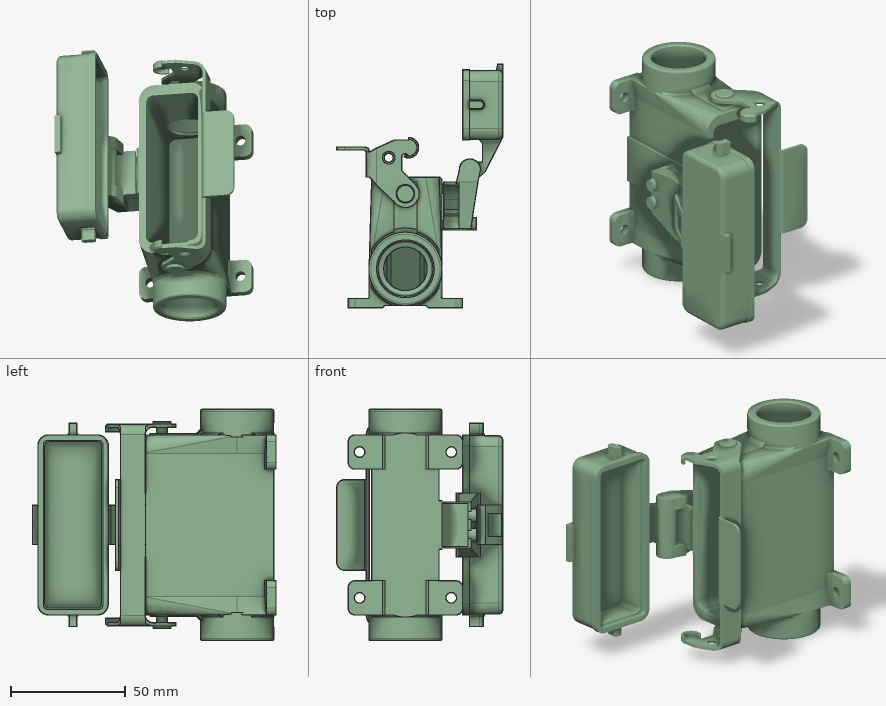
import cadquery as cq
import math


OVERLAP = 1.0

BODY_BASE_Y = 1.0
BODY_TOP_Y = 57.0
BODY_HALF_WIDTH = 14.75
BODY_HALF_LENGTH = 39.3
FLARE_HALF_WIDTH = 15.9
FLARE_START_Z = 31.2
FLARE_CORNER_RADIUS = 0.3
FLARE_TOP_Y = 17.0
TOP_FLAT_HALF_WIDTH = 8.8
PAD_HALF_WIDTH = 5.0
PAD_TOP_Y = 55.0
PAD_HEIGHT = 0.6

TUBE_RADIUS = 16.0
TUBE_CLEARANCE = 0.05
TUBE_Y = BODY_BASE_Y + TUBE_RADIUS + TUBE_CLEARANCE
TUBE_END_Z = 50.5
TUBE_EDGE = 0.9
TUBE_ROOT = 0.9
PAD_ROOT = 1.8
BORE_RADIUS = 12.0
BORE_CHAMFER = 0.6
BORE_DEPTH = 13.6
ENTRY_RADIUS = 9.5
ENTRY_CONE_DEPTH = 1.4

CAVITY_HALF_WIDTH = 11.5
CAVITY_HALF_LENGTH = 34.5
CAVITY_FLOOR_Y = 4.0
CAVITY_CORNER_RADIUS = 3.0
CHANNEL_FLOOR_HALF_WIDTH = 6.4
CHANNEL_MOUTH_HALF_WIDTH = 8.0
CHANNEL_DEPTH = 1.0

FOOT_HALF_SPAN = 25.0
FOOT_INNER_X = 10.0
FOOT_INNER_TOP_X = 9.0
FOOT_THICKNESS = 4.2
FOOT_LENGTH = 15.0
FOOT_Z = BODY_HALF_LENGTH - FOOT_LENGTH / 2
FOOT_CORNER_RADIUS = 3.0
FOOT_ROOT_CHAMFER = 0.8
FOOT_ROOT_X = BODY_HALF_WIDTH + 2 * FOOT_ROOT_CHAMFER
FOOT_HOLE_DIAMETER = 4.5
FOOT_HOLE_X = 20.0

SHEET = 1.4
LEVER_BACK_X = -17.1
LEVER_OUTER_Z = 44.0
LEVER_BEND_RADIUS = 4.5
LEVER_LOW_Y = 57.1
LEVER_HIGH_Y = 68.0
LEVER_BROW = (-12.3, 69.9)
LEVER_CREST = (-4.7, 73.3)
LEVER_KNEE = (-12.3, 53.3)
LEVER_NECK_X = -1.5
PIVOT_Y = 49.8
PIVOT_EYE_RADIUS = 6.0
PIVOT_HEAD_DIAMETER = 8.0
PIVOT_HEAD_HEIGHT = 1.2
PIVOT_HEAD_CHAMFER = 0.3
PIVOT_NECK_DIAMETER = 4.9
HOOK_X = 1.3
HOOK_Y = 69.9
HOOK_RADIUS = 4.5
HOOK_INNER_RADIUS = 3.4
HOOK_RIM_Z = 40.6
HOOK_SWEEP = 205.0
HOOK_EDGE = 0.8
HOOK_THROAT_X = 0.2
HOOK_THROAT_Y = 67.2
LEVER_HOLE_X = -7.3
LEVER_HOLE_Y = 65.5
LEVER_HOLE_DIAMETER = 3.8
LEVER_SINK_DIAMETER = 5.5
LEVER_SINK_DEPTH = 0.8
HANDLE_END_X = -30.0
HANDLE_TOP_Y = 70.2
HANDLE_HALF_LENGTH = 19.8
HANDLE_CORNER_RADIUS = 3.5
HANDLE_BEND_RADIUS = 2.0

BRACKET_SEAT_X = 16.0
BRACKET_SEAT_HALF_LENGTH = 10.6
SEAT_CHAMFER = 1.0
SEAT_PADS = ((34.9, 38.2), (50.0, 54.0))
SEAT_PAD_HALF_LENGTH = 4.0
PLATE_HALF_LENGTH = 9.3
BLOCK_WAIST = 5.5
BLOCK_STEP = 6.5
BLOCK_TOP_RIM_Y = 53.6
BLOCK_WAIST_HIGH_Y = 47.2
BLOCK_WAIST_LOW_Y = 42.9
BLOCK_STEP_HIGH_Y = 40.9
BLOCK_STEP_LOW_Y = 40.1
BRACKET_HALF_LENGTH = 10.1
BRACKET_LOW_Y = 34.6
BRACKET_TOP_Y = 55.0
BRACKET_PLATE = 0.7
BRACKET_PLATE_END_X = 27.2
BRACKET_BLOCK_X = 16.7
WEDGE_X = 23.3
WEDGE_LOW_X = 28.5
WEDGE_TOP_X = 31.7
EAR_HALF_LENGTH = 13.9
EAR_ROOT_X = 22.1
EAR_ROOT_DROP = 0.8
HINGE_X = 28.1
HINGE_Y = 60.4
HINGE_RADIUS = 4.6
HUB_CLEARANCE = 0.4
SCREW_HEAD_DIAMETER = 5.5
SCREW_END_X = 30.9
SCREW_Y = 36.7
SCREW_Z = 4.2

COVER_RIM_X = 25.0
COVER_LIP_X = 27.9
COVER_BACK_X = 42.5
COVER_LOW_Y = 73.2
COVER_HIGH_Y = 104.0
COVER_HALF_LENGTH = 39.3
COVER_LIP_STEP = 0.35
COVER_CORNER_RADIUS = 4.8
COVER_BACK_FILLET = 2.0
COVER_WALL = 3.0
COVER_MOUTH_WALL = 2.4
COVER_INNER_CORNER_RADIUS = 2.0
LUG_TOP_Y = 106.4
LUG_BASE_X = 39.7
LUG_TOP_X = 40.2
ARM_HALF_LENGTH = 8.6
ARM_GROOVE_HALF_LENGTH = 5.0
ARM_WEB_X = 36.0
ARM_WEB_FILLET = 2.0
ARM_SLOPE_TOP_Y = 74.5
ARM_SLOPE_END = (34.9, 59.6)
ARM_TIP = (32.5, 57.3)
ARM_LEDGE_Y = 63.6
ARM_INNER_X = 33.6
ARM_ROOT_CHAMFER = 1.2
STUD_Y = 88.6
STUD_WIDTH = 3.4
STUD_COLLAR = 0.45
STUD_END_X = 34.0
STUD_END_Z = 44.4
STUD_FLAT = 0.05


def box(x0, x1, y0, y1, z0, z1):
    """Box between two opposite corners."""
    return cq.Workplane("XY").box(x1 - x0, y1 - y0, z1 - z0, centered=False).translate((x0, y0, z0))


def cylinder_z(x, y, diameter, z0, z1):
    """Cylinder along Z."""
    return cq.Workplane("XY", origin=(x, y, z0)).circle(diameter / 2).extrude(z1 - z0)


def both_ends(shape):
    """The shape together with its mirror image across Z = 0."""
    return shape.union(shape.mirror("XY"))


def body_section(y, half_width, corner_x, corner_z):
    """Section wire at height y: straight flanks, slanted ends and rounded corners."""
    inset = 1 - math.sqrt(0.5)
    wire = cq.Workplane("XZ", origin=(0, y, 0)).moveTo(BODY_HALF_WIDTH, -FLARE_START_Z)
    for sx, sz in ((1, 1), (-1, 1), (-1, -1), (1, -1)):
        flank = (sx * BODY_HALF_WIDTH, sz * FLARE_START_Z)
        side = (sx * half_width, sz * (BODY_HALF_LENGTH - corner_z))
        middle = (sx * (half_width - inset * corner_x), sz * (BODY_HALF_LENGTH - inset * corner_z))
        end = (sx * (half_width - corner_x), sz * BODY_HALF_LENGTH)
        if sx == sz:
            wire = wire.lineTo(*flank).lineTo(*side).threePointArc(middle, end)
        else:
            wire = wire.lineTo(*end).threePointArc(middle, side).lineTo(*flank)
    return wire.wire().val()


def make_body():
    flare = (FLARE_HALF_WIDTH, FLARE_CORNER_RADIUS, FLARE_CORNER_RADIUS)
    top_round_x = BODY_HALF_WIDTH - TOP_FLAT_HALF_WIDTH
    top_round_z = BODY_HALF_LENGTH - FLARE_START_Z - FLARE_CORNER_RADIUS
    base = body_section(BODY_BASE_Y, *flare)
    shoulder = body_section(FLARE_TOP_Y, *flare)
    top = body_section(BODY_TOP_Y, BODY_HALF_WIDTH, top_round_x, top_round_z)
    lower = cq.Workplane(cq.Solid.makeLoft([base, shoulder], True))
    upper = cq.Workplane(cq.Solid.makeLoft([shoulder, top], True))
    pad = box(-PAD_HALF_WIDTH, PAD_HALF_WIDTH, TUBE_Y, PAD_TOP_Y, 0, BODY_HALF_LENGTH + PAD_HEIGHT)
    return lower.union(upper).union(both_ends(pad))


def make_tube_root(size, face_z, half_width):
    """Conical root where the +Z tube leaves a face, trimmed to the width of that face."""
    start_z = BODY_HALF_LENGTH - OVERLAP
    outer_radius = TUBE_RADIUS + size
    profile = [(0, start_z), (outer_radius, start_z), (outer_radius, face_z)]
    profile += [(TUBE_RADIUS, face_z + size), (0, face_z + size)]
    root = cq.Workplane("XZ").polyline(profile).close().revolve(360, (0, 0, 0), (0, 1, 0))
    root = root.translate((0, TUBE_Y, 0))
    return root.intersect(box(-half_width, half_width, BODY_BASE_Y, BODY_TOP_Y, 0, TUBE_END_Z))


def make_tubes():
    tube = cylinder_z(0, TUBE_Y, 2 * TUBE_RADIUS, BODY_HALF_LENGTH - OVERLAP, TUBE_END_Z)
    tube = tube.faces(">Z").edges().fillet(TUBE_EDGE)
    body_root = make_tube_root(TUBE_ROOT, BODY_HALF_LENGTH, BODY_HALF_WIDTH)
    pad_root = make_tube_root(PAD_ROOT, BODY_HALF_LENGTH + PAD_HEIGHT, PAD_HALF_WIDTH)
    pad_root = pad_root.intersect(box(-TUBE_RADIUS, TUBE_RADIUS, TUBE_Y, BODY_TOP_Y, 0, TUBE_END_Z))
    return both_ends(tube.union(body_root).union(pad_root))


def make_bore(through):
    """Cable bore in the +Z tube: entry chamfer, cylinder and, if through, a cone into the cavity."""
    floor_z = TUBE_END_Z - BORE_DEPTH
    mouth_radius = BORE_RADIUS + BORE_CHAMFER
    profile = [(0, TUBE_END_Z), (mouth_radius, TUBE_END_Z), (BORE_RADIUS, TUBE_END_Z - BORE_CHAMFER)]
    profile.append((BORE_RADIUS, floor_z))
    if through:
        profile.append((ENTRY_RADIUS, floor_z - ENTRY_CONE_DEPTH))
        profile.append((ENTRY_RADIUS, 0))
        profile.append((0, 0))
    else:
        profile.append((0, floor_z))
    bore = cq.Workplane("XZ").polyline(profile).close().revolve(360, (0, 0, 0), (0, 1, 0))
    return bore.translate((0, TUBE_Y, 0))


def make_cavity():
    """Cavity open at the mating face, with a shallow channel down the closed end wall."""
    height = BODY_TOP_Y - CAVITY_FLOOR_Y
    cavity = box(-CAVITY_HALF_WIDTH, CAVITY_HALF_WIDTH, CAVITY_FLOOR_Y, BODY_TOP_Y,
                 -CAVITY_HALF_LENGTH, CAVITY_HALF_LENGTH)
    cavity = cavity.edges("|Y").fillet(CAVITY_CORNER_RADIUS)
    channel = (
        cq.Workplane("XZ", origin=(0, BODY_TOP_Y, 0))
        .moveTo(-CHANNEL_MOUTH_HALF_WIDTH, -CAVITY_HALF_LENGTH)
        .lineTo(CHANNEL_MOUTH_HALF_WIDTH, -CAVITY_HALF_LENGTH)
        .lineTo(CHANNEL_FLOOR_HALF_WIDTH, -CAVITY_HALF_LENGTH - CHANNEL_DEPTH)
        .lineTo(-CHANNEL_FLOOR_HALF_WIDTH, -CAVITY_HALF_LENGTH - CHANNEL_DEPTH)
        .close()
        .extrude(height)
    )
    return cavity.union(channel)


def make_foot():
    """Foot on the +X, +Z corner, with its raised sole."""
    z0 = FOOT_Z - FOOT_LENGTH / 2
    foot = (
        cq.Workplane("XY", origin=(0, 0, z0))
        .moveTo(FOOT_INNER_X, 0)
        .lineTo(FOOT_HALF_SPAN, 0)
        .lineTo(FOOT_HALF_SPAN, FOOT_THICKNESS)
        .lineTo(FOOT_ROOT_X, FOOT_THICKNESS)
        .lineTo(BODY_HALF_WIDTH, FOOT_THICKNESS + FOOT_ROOT_CHAMFER)
        .lineTo(BODY_HALF_WIDTH - OVERLAP, FOOT_THICKNESS + FOOT_ROOT_CHAMFER)
        .lineTo(BODY_HALF_WIDTH - OVERLAP, BODY_BASE_Y)
        .lineTo(FOOT_INNER_TOP_X, BODY_BASE_Y)
        .close()
        .extrude(FOOT_LENGTH)
    )
    foot = foot.faces(">X").edges("|Y").fillet(FOOT_CORNER_RADIUS)
    hole = (
        cq.Workplane("XZ", origin=(FOOT_HOLE_X, 0, FOOT_Z))
        .circle(FOOT_HOLE_DIAMETER / 2)
        .extrude(-FOOT_THICKNESS)
    )
    return foot.cut(hole)


def make_feet():
    pair = make_foot().union(make_foot().mirror("YZ"))
    return both_ends(pair)


def lever_outline():
    """Side outline of the lever, extruded over its whole length in Z."""
    eye = PIVOT_EYE_RADIUS * math.sqrt(0.5)
    return (
        cq.Workplane("XY", origin=(0, 0, -LEVER_OUTER_Z))
        .moveTo(LEVER_BACK_X + SHEET, LEVER_LOW_Y)
        .lineTo(LEVER_BACK_X, LEVER_LOW_Y)
        .lineTo(LEVER_BACK_X, LEVER_HIGH_Y)
        .lineTo(LEVER_BACK_X + SHEET, LEVER_HIGH_Y)
        .lineTo(*LEVER_BROW)
        .lineTo(*LEVER_CREST)
        .lineTo(HOOK_X, HOOK_Y + HOOK_INNER_RADIUS)
        .threePointArc((HOOK_X + HOOK_INNER_RADIUS, HOOK_Y), (HOOK_X, HOOK_Y - HOOK_INNER_RADIUS))
        .lineTo(HOOK_THROAT_X, HOOK_THROAT_Y)
        .lineTo(LEVER_NECK_X + HOOK_EDGE, HOOK_THROAT_Y)
        .lineTo(LEVER_NECK_X, HOOK_THROAT_Y - HOOK_EDGE)
        .lineTo(LEVER_NECK_X, PIVOT_Y + 2 * eye - LEVER_NECK_X)
        .lineTo(eye, PIVOT_Y + eye)
        .threePointArc((eye, PIVOT_Y - eye), (-eye, PIVOT_Y - eye))
        .lineTo(*LEVER_KNEE)
        .close()
        .extrude(2 * LEVER_OUTER_Z)
    )


def make_lever():
    """Bent sheet lever with hooks, handle and pivot pins."""
    far_x = HOOK_X + 2 * HOOK_RADIUS
    inner_z = LEVER_OUTER_Z - SHEET
    low_y = PIVOT_Y - 2 * PIVOT_EYE_RADIUS
    high_y = HOOK_Y + 2 * HOOK_RADIUS
    outer = box(LEVER_BACK_X, far_x, low_y, high_y, -LEVER_OUTER_Z, LEVER_OUTER_Z)
    outer = outer.edges("|Y and <X").fillet(LEVER_BEND_RADIUS)
    inner = box(LEVER_BACK_X + SHEET, far_x, low_y, high_y, -inner_z, inner_z)
    inner = inner.edges("|Y and <X").fillet(LEVER_BEND_RADIUS - SHEET)
    lever = outer.cut(inner).intersect(lever_outline())

    hook_rim = (
        cq.Workplane("YZ")
        .moveTo(HOOK_INNER_RADIUS, HOOK_RIM_Z)
        .lineTo(HOOK_RADIUS, HOOK_RIM_Z)
        .lineTo(HOOK_RADIUS, LEVER_OUTER_Z - HOOK_EDGE)
        .lineTo(HOOK_RADIUS - HOOK_EDGE, LEVER_OUTER_Z)
        .lineTo(HOOK_INNER_RADIUS, LEVER_OUTER_Z)
        .close()
        .revolve(HOOK_SWEEP, (0, 0, 0), (0, -1, 0))
        .translate((HOOK_X, HOOK_Y, 0))
    )
    neck = cylinder_z(0, PIVOT_Y, PIVOT_NECK_DIAMETER, BODY_HALF_LENGTH, LEVER_OUTER_Z)
    head = cylinder_z(0, PIVOT_Y, PIVOT_HEAD_DIAMETER, LEVER_OUTER_Z, LEVER_OUTER_Z + PIVOT_HEAD_HEIGHT)
    head = head.faces(">Z").edges().chamfer(PIVOT_HEAD_CHAMFER)
    lever = lever.union(both_ends(hook_rim.union(neck).union(head)))

    hole = cylinder_z(LEVER_HOLE_X, LEVER_HOLE_Y, LEVER_HOLE_DIAMETER, inner_z, LEVER_OUTER_Z)
    sink = cq.Workplane(cq.Solid.makeCone(
        LEVER_HOLE_DIAMETER / 2, LEVER_SINK_DIAMETER / 2, LEVER_SINK_DEPTH,
        cq.Vector(LEVER_HOLE_X, LEVER_HOLE_Y, LEVER_OUTER_Z - LEVER_SINK_DEPTH),
    ))
    lever = lever.cut(both_ends(hole.union(sink)))

    inner_x = LEVER_BACK_X + SHEET
    handle = (
        cq.Workplane("XY", origin=(0, 0, -HANDLE_HALF_LENGTH))
        .moveTo(HANDLE_END_X, HANDLE_TOP_Y - SHEET)
        .lineTo(HANDLE_END_X, HANDLE_TOP_Y)
        .lineTo(inner_x - HANDLE_BEND_RADIUS, HANDLE_TOP_Y)
        .radiusArc((inner_x, HANDLE_TOP_Y - HANDLE_BEND_RADIUS), HANDLE_BEND_RADIUS)
        .lineTo(inner_x, LEVER_HIGH_Y - SHEET)
        .lineTo(LEVER_BACK_X, LEVER_HIGH_Y - SHEET)
        .lineTo(LEVER_BACK_X, LEVER_HIGH_Y)
        .lineTo(LEVER_BACK_X - (HANDLE_TOP_Y - SHEET - LEVER_HIGH_Y), HANDLE_TOP_Y - SHEET)
        .close()
        .extrude(2 * HANDLE_HALF_LENGTH)
    )
    handle = handle.edges("|Y and <X").fillet(HANDLE_CORNER_RADIUS)
    return lever.union(handle)


def make_bracket_block():
    """Waisted block between the seat and the wedge."""
    half = BRACKET_HALF_LENGTH
    rim_depth = half - BLOCK_WAIST
    curve_y = BLOCK_WAIST_HIGH_Y + math.sqrt(0.5) * (BLOCK_TOP_RIM_Y - BLOCK_WAIST_HIGH_Y)
    curve_z = BLOCK_WAIST + (1 - math.sqrt(0.5)) * rim_depth
    half_block = (
        cq.Workplane("YZ", origin=(BRACKET_BLOCK_X, 0, 0))
        .moveTo(BRACKET_LOW_Y, 0)
        .lineTo(BRACKET_LOW_Y, half)
        .lineTo(BLOCK_STEP_LOW_Y, BLOCK_STEP)
        .lineTo(BLOCK_STEP_HIGH_Y, BLOCK_STEP)
        .lineTo(BLOCK_WAIST_LOW_Y, BLOCK_WAIST)
        .lineTo(BLOCK_WAIST_HIGH_Y, BLOCK_WAIST)
        .threePointArc((curve_y, curve_z), (BLOCK_TOP_RIM_Y, half))
        .lineTo(BRACKET_TOP_Y, half)
        .lineTo(BRACKET_TOP_Y, 0)
        .close()
        .extrude(WEDGE_X - BRACKET_BLOCK_X)
    )
    return both_ends(half_block)


def make_bracket():
    """Hinge bracket on the +X flank: seat, block, tapered wedge, two ears and screw heads."""
    low_y = BRACKET_LOW_Y - BRACKET_PLATE
    half = BRACKET_HALF_LENGTH
    seat = box(BODY_HALF_WIDTH - OVERLAP, BRACKET_SEAT_X, BODY_BASE_Y, BODY_TOP_Y,
               -BRACKET_SEAT_HALF_LENGTH, BRACKET_SEAT_HALF_LENGTH)
    seat = seat.edges(">X and >Y").chamfer(SEAT_CHAMFER)
    bracket = seat
    for pad_low, pad_high in SEAT_PADS:
        bracket = bracket.union(box(BODY_HALF_WIDTH, BRACKET_BLOCK_X, pad_low, pad_high,
                                    -SEAT_PAD_HALF_LENGTH, SEAT_PAD_HALF_LENGTH))
    bracket = bracket.union(box(BODY_HALF_WIDTH, BRACKET_PLATE_END_X, low_y, BRACKET_LOW_Y,
                                -PLATE_HALF_LENGTH, PLATE_HALF_LENGTH))
    bracket = bracket.union(make_bracket_block())

    wedge_low = cq.Wire.makePolygon([
        cq.Vector(x, BRACKET_LOW_Y, z)
        for x, z in ((WEDGE_X, -half), (WEDGE_LOW_X, -half), (WEDGE_LOW_X, half), (WEDGE_X, half))
    ], close=True)
    ear = EAR_HALF_LENGTH
    wedge_top = cq.Wire.makePolygon([
        cq.Vector(x, BRACKET_TOP_Y, z)
        for x, z in ((WEDGE_X, -ear), (WEDGE_TOP_X, -ear), (WEDGE_TOP_X, ear), (WEDGE_X, ear))
    ], close=True)
    bracket = bracket.union(cq.Workplane(cq.Solid.makeLoft([wedge_low, wedge_top], True)))

    ear_plate = (
        cq.Workplane("XY", origin=(0, 0, ARM_HALF_LENGTH))
        .moveTo(EAR_ROOT_X, BRACKET_TOP_Y - EAR_ROOT_DROP)
        .lineTo(HINGE_X - HINGE_RADIUS, HINGE_Y)
        .threePointArc((HINGE_X, HINGE_Y + HINGE_RADIUS), (HINGE_X + HINGE_RADIUS, HINGE_Y))
        .lineTo(WEDGE_TOP_X, BRACKET_TOP_Y)
        .lineTo(WEDGE_X, BRACKET_TOP_Y)
        .lineTo(WEDGE_X, BRACKET_TOP_Y - EAR_ROOT_DROP)
        .close()
        .extrude(EAR_HALF_LENGTH - ARM_HALF_LENGTH)
    )
    screw = (
        cq.Workplane("YZ", origin=(WEDGE_X, SCREW_Y, SCREW_Z))
        .circle(SCREW_HEAD_DIAMETER / 2)
        .extrude(SCREW_END_X - WEDGE_X)
    )
    return bracket.union(both_ends(ear_plate.union(screw)))


def make_cover_arm():
    """Hinge arm under the cover, with its hub between the bracket ears."""
    profile = (
        cq.Workplane("XY", origin=(0, 0, -ARM_HALF_LENGTH))
        .moveTo(COVER_BACK_X, COVER_LOW_Y + COVER_BACK_FILLET)
        .lineTo(COVER_BACK_X, ARM_SLOPE_TOP_Y)
        .lineTo(*ARM_SLOPE_END)
        .lineTo(*ARM_TIP)
        .lineTo(HINGE_X, HINGE_Y)
        .lineTo(HINGE_X, ARM_LEDGE_Y)
        .lineTo(ARM_INNER_X, ARM_LEDGE_Y)
        .lineTo(ARM_INNER_X, COVER_LOW_Y - ARM_ROOT_CHAMFER)
        .lineTo(ARM_INNER_X - ARM_ROOT_CHAMFER, COVER_LOW_Y)
        .lineTo(ARM_INNER_X, COVER_LOW_Y + COVER_BACK_FILLET)
        .close()
        .extrude(2 * ARM_HALF_LENGTH)
    )
    groove = box(ARM_WEB_X, COVER_BACK_X, ARM_SLOPE_END[1], COVER_LOW_Y,
                 -ARM_GROOVE_HALF_LENGTH, ARM_GROOVE_HALF_LENGTH)
    groove = groove.edges("<X and >Y").fillet(ARM_WEB_FILLET)
    hub_diameter = 2 * (HINGE_RADIUS - HUB_CLEARANCE)
    hub = cylinder_z(HINGE_X, HINGE_Y, hub_diameter, -ARM_HALF_LENGTH, ARM_HALF_LENGTH)
    return profile.cut(groove).union(hub)


def make_stud(margin, end_z):
    """Round-ended latch stud on the +Z side of the cover, widened by a margin."""
    half_width = STUD_WIDTH / 2 + margin
    stud = box(COVER_LIP_X, STUD_END_X + margin, STUD_Y - half_width, STUD_Y + half_width,
               COVER_HALF_LENGTH - COVER_WALL, end_z)
    return stud.edges("|Z and >X").fillet(half_width - STUD_FLAT)


def make_hollow(wall, floor_x):
    """Rounded pocket in the cover, open toward -X."""
    half = COVER_HALF_LENGTH - wall
    hollow = box(COVER_RIM_X, floor_x, COVER_LOW_Y + wall, COVER_HIGH_Y - wall, -half, half)
    return hollow.edges("|X").fillet(COVER_INNER_CORNER_RADIUS)


def make_cover():
    """Cover shell open toward -X, with lip, latch studs, end lug and hinge arm."""
    step = COVER_LIP_STEP
    half = COVER_HALF_LENGTH
    lip = box(COVER_RIM_X, COVER_LIP_X, COVER_LOW_Y, COVER_HIGH_Y, -half, half)
    lip = lip.edges("|X").fillet(COVER_CORNER_RADIUS)
    shell = box(COVER_LIP_X, COVER_BACK_X, COVER_LOW_Y + step, COVER_HIGH_Y - step, step - half, half - step)
    shell = shell.edges("|X").fillet(COVER_CORNER_RADIUS)
    shell = shell.faces(">X").edges().fillet(COVER_BACK_FILLET)
    cover = lip.union(shell)

    lug = (
        cq.Workplane("XY", origin=(0, 0, -ARM_HALF_LENGTH))
        .moveTo(LUG_BASE_X, COVER_HIGH_Y - COVER_WALL)
        .lineTo(LUG_BASE_X, COVER_HIGH_Y - step)
        .lineTo(LUG_TOP_X, LUG_TOP_Y)
        .lineTo(COVER_BACK_X, LUG_TOP_Y)
        .lineTo(COVER_BACK_X, COVER_HIGH_Y - COVER_WALL)
        .close()
        .extrude(2 * ARM_HALF_LENGTH)
    )
    stud = make_stud(0, STUD_END_Z).union(make_stud(STUD_COLLAR, half + STUD_COLLAR))
    cover = cover.union(lug).union(make_cover_arm()).union(both_ends(stud))

    mouth = make_hollow(COVER_MOUTH_WALL, COVER_LIP_X)
    return cover.cut(mouth).cut(make_hollow(COVER_WALL, COVER_BACK_X - COVER_WALL))


housing = make_body().union(make_tubes()).union(make_feet())
housing = housing.cut(make_cavity())
housing = housing.cut(make_bore(through=True)).cut(make_bore(through=False).mirror("XY"))
result = housing.union(make_bracket()).union(make_lever()).union(make_cover())